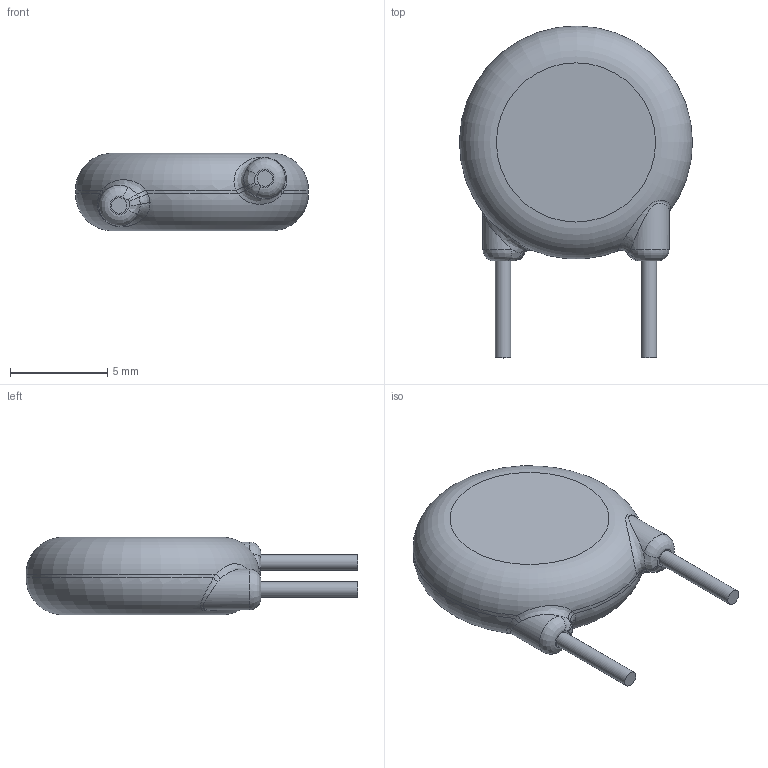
import cadquery as cq

disc_radius = 6.0
disc_thickness = 4.0
rim_band_height = 0.2
rim_round = (disc_thickness - rim_band_height) / 2

lead_pitch = 7.5
lead_stagger = 1.4
lead_radius = 0.8 / 2
lead_tip_y = -11.1

sleeve_radius = 1.05
sleeve_end_y = -6.1
root_y = -1.0
sleeve_end_round = 0.58
blend_radius = 0.4

lead_axes = [(side * lead_pitch / 2, side * lead_stagger / 2) for side in (-1, 1)]


def make_disc():
    """Disc centred on the origin with both rims rounded."""
    disc = cq.Workplane("XY").circle(disc_radius).extrude(disc_thickness / 2, both=True)
    return disc.faces("|Z").edges().fillet(rim_round)


def make_rod(x, z, radius, end_y):
    """Round rod along -Y, from inside the disc to end_y."""
    plane = cq.Plane(origin=(x, root_y, z), xDir=(1, 0, 0), normal=(0, -1, 0))
    return cq.Workplane(plane).circle(radius).extrude(root_y - end_y)


def blend_sleeve(body, x, z):
    """Fillet the curved seam between the disc and the sleeve at (x, z)."""
    around_sleeve = cq.selectors.BoxSelector(
        (x - sleeve_radius, sleeve_end_y, z - sleeve_radius),
        (x + sleeve_radius, root_y, z + sleeve_radius),
    )
    sleeve_wall = body.faces("%CYLINDER").faces(around_sleeve)
    return sleeve_wall.edges("not (%CIRCLE or %LINE)").fillet(blend_radius)


def add_sleeves(body):
    """Add both sleeves, blend them into the disc and round their ends."""
    for x, z in lead_axes:
        body = body.union(make_rod(x, z, sleeve_radius, sleeve_end_y))
    for x, z in lead_axes:
        body = blend_sleeve(body, x, z)
    return body.faces("<Y").edges().fillet(sleeve_end_round)


def add_leads(body):
    """Add both wire leads, projecting from the sleeve ends."""
    for x, z in lead_axes:
        body = body.union(make_rod(x, z, lead_radius, lead_tip_y))
    return body


result = add_leads(add_sleeves(make_disc()))